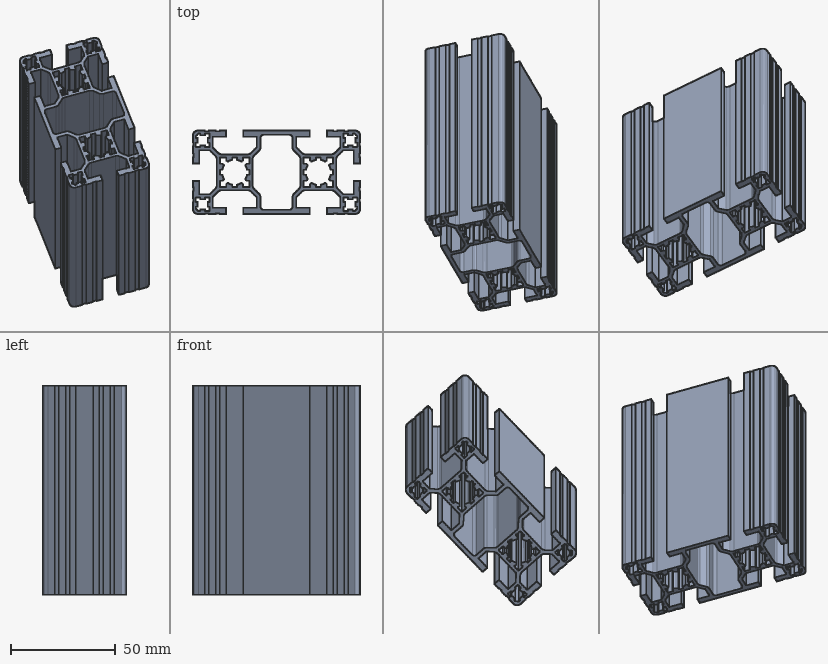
import cadquery as cq
import math

length = 100.0
module = 40.0
half_module = module / 2
outer_radius = 2.5

lip_thickness = 3.1
core_wall = 1.6
web_thickness = 2.0
bend_radius = 2.5
web_offset = web_thickness / math.sqrt(2)

slot_opening = 8.2
slot_width = 20.9

core_half = 7.0
core_outer = core_half + core_wall
core_bore_radius = 6.0
core_groove_width = 2.2
core_pocket_start = 4.1
core_pocket_offset = 1.7

chamber_wall = 1.5
chamber_size = 6.4
chamber_chamfer = 1.2
chamber_rib_height = 0.8
chamber_rib_width = 2.4

middle_half_width = 7.6
middle_wall = 2.1
middle_corner_radius = 1.5

groove_places = (6.7, 11.9)
groove_width = 1.9
groove_depth = 0.3

signs = (-1, 1)
core_centers = [side * half_module for side in signs]
corners = [(x_sign, y_sign) for x_sign in signs for y_sign in signs]


def prism(points):
    return cq.Workplane("XY").polyline(points).close().extrude(length)


def block(x_size, y_size, x, y):
    return cq.Workplane("XY").center(x, y).rect(x_size, y_size).extrude(length)


def spin(shape, angle):
    return shape.rotate((0, 0, 0), (0, 0, 1), angle)


def symmetric_outline(right_side):
    """Close an outline by mirroring its right-hand points across the Y axis."""
    return right_side + [(-x, y) for x, y in reversed(right_side)]


def t_slot():
    """T-slot opening toward +Y, around a module centre at the origin."""
    lip_inner = half_module - lip_thickness
    slot = prism(symmetric_outline([
        (slot_opening / 2, half_module),
        (slot_opening / 2, lip_inner),
        (slot_width / 2, lip_inner),
        (slot_width / 2, slot_width / 2 + web_offset),
        (core_outer - web_offset, core_outer),
    ]))
    return slot.edges("|Z and <Y").fillet(bend_radius)


def core_chamber():
    """Bore with a groove in each wall and a pocket reaching into each corner."""
    chamber = cq.Workplane("XY").circle(core_bore_radius).extrude(length)
    chamber = chamber.union(block(core_groove_width, 2 * core_half, 0, 0))
    chamber = chamber.union(block(2 * core_half, core_groove_width, 0, 0))
    corner_pocket = prism([
        (0, core_pocket_offset),
        (core_pocket_start, core_pocket_start + core_pocket_offset),
        (core_pocket_start, core_half),
        (core_half, core_half),
        (core_half, core_pocket_start),
        (core_pocket_start + core_pocket_offset, core_pocket_start),
        (core_pocket_offset, 0),
    ])
    for quarter in range(4):
        chamber = chamber.union(spin(corner_pocket, 90 * quarter))
    return chamber


def corner_chamber():
    """Square chamber centred on the origin with four ribs and a bevel toward +X +Y."""
    half = chamber_size / 2
    chamber = block(chamber_size, chamber_size, 0, 0)
    ribs = block(chamber_size, chamber_rib_width, 0, 0).union(block(chamber_rib_width, chamber_size, 0, 0))
    clear_size = chamber_size - 2 * chamber_rib_height
    clear_space = block(clear_size, clear_size, 0, 0)
    bevel = prism([(half, half), (half - chamber_chamfer, half), (half, half - chamber_chamfer)])
    return chamber.cut(ribs).union(clear_space).cut(bevel)


def middle_chamber():
    """Tall chamber widening between the cores, rounded at every vertical edge."""
    top = half_module - middle_wall
    bend = half_module - middle_half_width - web_offset
    waist_half_width = half_module - core_outer
    waist = core_outer - web_offset
    right_side = [(middle_half_width, top), (middle_half_width, bend), (waist_half_width, waist)]
    lower_right = [(x, -y) for x, y in reversed(right_side)]
    chamber = prism(symmetric_outline(right_side + lower_right))
    edge_radii = (middle_corner_radius, bend_radius, bend_radius)
    for (x, y), radius in zip(right_side, edge_radii):
        for x_sign, y_sign in corners:
            edge_middle = (x_sign * x, y_sign * y, length / 2)
            vertical_edge = cq.selectors.NearestToPointSelector(edge_middle)
            chamber = chamber.edges("|Z").edges(vertical_edge).fillet(radius)
    return chamber


profile = block(2 * module, module, 0, 0).edges("|Z").fillet(outer_radius)

for center in core_centers:
    slot_angles = (0, 180, 90 if center < 0 else -90)
    for angle in slot_angles:
        profile = profile.cut(spin(t_slot(), angle).translate((center, 0, 0)))

for center in core_centers:
    profile = profile.cut(core_chamber().translate((center, 0, 0)))
profile = profile.cut(middle_chamber())

chamber_inset = chamber_wall + chamber_size / 2
bevel_angles = {(1, 1): 0, (-1, 1): 90, (-1, -1): 180, (1, -1): 270}
for x_sign, y_sign in corners:
    place = (x_sign * (module - chamber_inset), y_sign * (half_module - chamber_inset), 0)
    profile = profile.cut(spin(corner_chamber(), bevel_angles[(x_sign, y_sign)]).translate(place))

cutter_depth = 2 * groove_depth
for x_sign, y_sign in corners:
    for place in groove_places:
        groove_x = x_sign * (module - place)
        groove_y = y_sign * (half_module - place)
        profile = profile.cut(block(groove_width, cutter_depth, groove_x, y_sign * half_module))
        profile = profile.cut(block(cutter_depth, groove_width, x_sign * module, groove_y))

result = profile